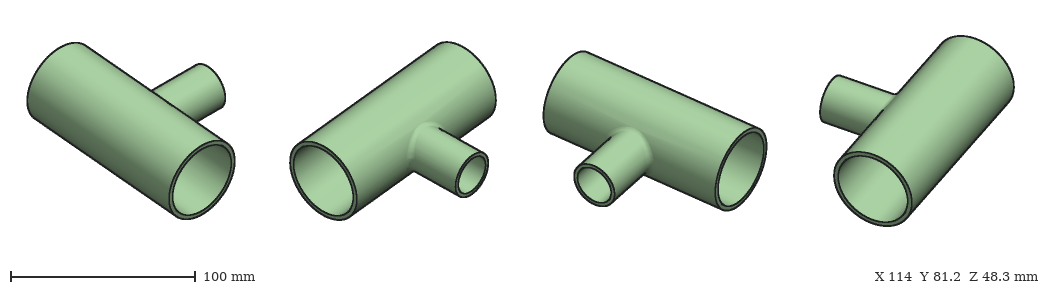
import cadquery as cq

run_length = 114.0
run_outer_diameter = 48.3
run_inner_diameter = 43.1

branch_reach = 57.0
branch_outer_diameter = 26.9
branch_inner_diameter = 22.3

junction_fillet = 3.0


def run_cylinder(diameter):
    """Cylinder along X with the full length of the run."""
    return cq.Workplane("ZY").circle(diameter / 2).extrude(run_length / 2, both=True)


def branch_cylinder(diameter):
    """Cylinder along +Y from the run axis to the end of the branch."""
    return cq.Workplane("XZ").circle(diameter / 2).extrude(-branch_reach)


tee = run_cylinder(run_outer_diameter).union(branch_cylinder(branch_outer_diameter))

saddle_zone = cq.selectors.BoxSelector(
    (-branch_outer_diameter, 0, -branch_outer_diameter),
    (branch_outer_diameter, run_outer_diameter / 2, branch_outer_diameter),
)
tee = tee.edges(saddle_zone).fillet(junction_fillet)

result = tee.cut(run_cylinder(run_inner_diameter)).cut(branch_cylinder(branch_inner_diameter))